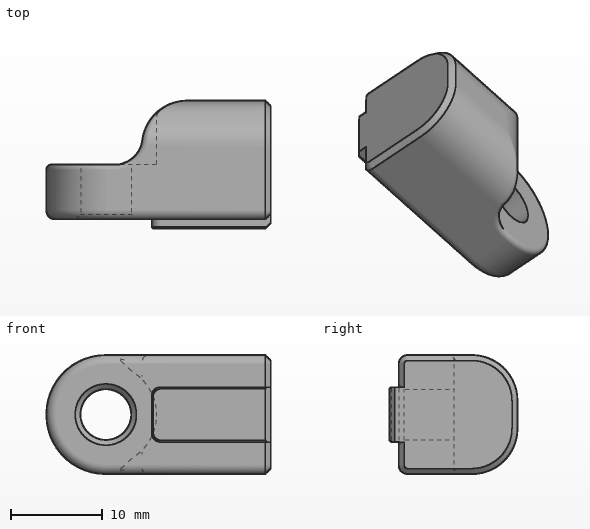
import cadquery as cq
import math

length = 24.5
width = 13.0
depth = 12.98
end_radius = width / 2
hole_x = end_radius

lug_thickness = 6.0
step_start_x = 7.5
concave_radius = 3.0
convex_radius = 5.0
back_corner_radius = 5.0

front_fillet = 1.0
rim_fillet = 0.6
end_chamfer = 0.61

hole_diameter = 5.51
hole_chamfer = 0.6
clearance_radius = 5.51
clearance_rim_fillet = 1.0

pad_length = 13.0
pad_width = 6.0
pad_height = 1.0
pad_corner_radius = 1.0
pad_edge_chamfer = 0.2

construction_margin = 2.45
tolerance = 0.002


def cylinder_along_y(radius, y_start, y_end):
    """Cylinder on the hole axis between two Y positions."""
    return cq.Workplane("XZ", origin=(hole_x, y_start, 0)).circle(radius).extrude(y_start - y_end)


def step_prism(prism_width):
    """Prism whose S-shaped step has two tangent arcs between the lug and the full depth."""
    concave_y = lug_thickness + concave_radius
    convex_y = depth - convex_radius
    center_distance = concave_radius + convex_radius
    angle = math.asin((convex_y - concave_y) / center_distance)
    convex_x = step_start_x + center_distance * math.cos(angle)

    def concave_point(a):
        return (step_start_x + concave_radius * math.cos(a), concave_y + concave_radius * math.sin(a))

    def convex_point(a):
        return (convex_x + convex_radius * math.cos(a), convex_y + convex_radius * math.sin(a))

    return (
        cq.Workplane("XY", origin=(0, 0, -prism_width / 2))
        .lineTo(length, 0)
        .lineTo(length, depth)
        .lineTo(convex_x, depth)
        .threePointArc(convex_point((math.pi / 2 + math.pi + angle) / 2), convex_point(math.pi + angle))
        .threePointArc(concave_point((angle - math.pi / 2) / 2), (step_start_x, lug_thickness))
        .lineTo(0, lug_thickness)
        .close()
        .extrude(prism_width)
    )


def make_body():
    block = cq.Workplane("XY").box(length, depth, width, centered=(False, False, True))
    block = block.edges("|X and >Y").fillet(back_corner_radius)
    straight = cq.Workplane("XY").box(length - hole_x, depth, width, centered=(False, False, True))
    outline = straight.translate((hole_x, 0, 0)).union(cylinder_along_y(end_radius, 0, depth))
    return step_prism(width).intersect(block).intersect(outline)


def is_rear_outline(edge):
    """True for the edges around the lug back, the step sides and the rounded back corners."""
    if edge.geomType() in ("BSPLINE", "ELLIPSE"):
        return True
    box = edge.BoundingBox()
    starts_at_lug_back = abs(box.ymin - lug_thickness) < tolerance
    crosses_step = box.xlen < tolerance
    return starts_at_lug_back and not crosses_step


def round_outline(body):
    """Round the rear and front outlines, then bevel the flat end."""
    rear_edges = [edge for edge in body.edges().vals() if is_rear_outline(edge)]
    body = body.newObject(rear_edges).fillet(rim_fillet)
    body = body.faces("<Y").edges("not(>X)").fillet(front_fillet)
    return body.faces(">X").chamfer(end_chamfer)


def is_clearance_rim(edge):
    """True for curved edges on the clearance wall above its temporary floor."""
    if edge.geomType() == "LINE" or edge.Center().y < lug_thickness - tolerance:
        return False
    samples = [edge.positionAt(fraction) for fraction in (0, 0.3, 0.6, 1)]
    return all(abs(math.hypot(p.x - hole_x, p.z) - clearance_radius) < tolerance for p in samples)


def cut_clearance(body):
    """Bore the step with a rounded rim that fades into the flat back of the lug."""
    floor_y = lug_thickness - 3 * clearance_rim_fillet
    bore = cylinder_along_y(clearance_radius, floor_y, depth + construction_margin)
    bored = step_prism(width + 2 * construction_margin).cut(bore)
    rim_edges = [edge for edge in bored.edges().vals() if is_clearance_rim(edge)]
    rimmed = bored.newObject(rim_edges).fillet(clearance_rim_fillet)

    refill = cylinder_along_y(clearance_radius + 2 * clearance_rim_fillet, 0, lug_thickness)
    return body.intersect(rimmed.union(refill))


def make_pad():
    """Raised pad with rounded left corners and a beveled end, rooted behind the body's end bevel."""
    root_depth = end_chamfer
    pad = cq.Workplane("XY").box(pad_length, pad_height + root_depth, pad_width, centered=(False, False, True))
    pad = pad.translate((length - pad_length, -pad_height, 0))
    pad = pad.edges("|Y and <X").fillet(pad_corner_radius)
    pad = pad.faces("<Y").edges(">X").chamfer(end_chamfer)
    return pad.faces("<Y").edges("not(>X)").chamfer(pad_edge_chamfer)


def cut_hole(body):
    """Through hole with a bevel at the front."""
    hole_radius = hole_diameter / 2
    hole = cylinder_along_y(hole_radius, 0, depth)
    bevel = cq.Workplane("XZ", origin=(hole_x, 0, 0)).circle(hole_radius + hole_chamfer)
    bevel = bevel.workplane(offset=-hole_chamfer).circle(hole_radius).loft()
    return body.cut(hole).cut(bevel)


result = make_body()
result = round_outline(result)
result = cut_clearance(result)
result = result.union(make_pad())
result = cut_hole(result)